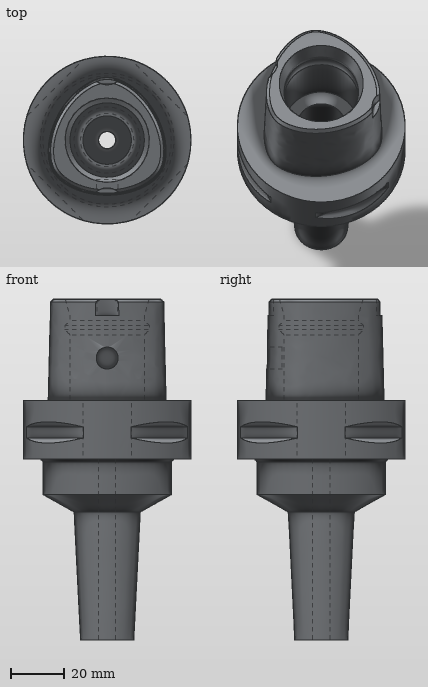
import cadquery as cq
import math

height = 128.0
flange_top = 90.0
flange_bottom = 68.0
collar_bottom = 54.7
nose_top = 48.1

flange_radius = 31.5
collar_radius = 24.0
collar_flare = 1.0
nose_top_radius = 12.4
nose_end_radius = 10.0

shank_base_radius = 22.1
shank_top_radius = 21.2
lobe_height = 1.4
shank_chamfer = 1.2
outline_points = 48

mouth_radius = 15.7
bore_radius = 14.0
mouth_depth = 6.4
lip_end = 8.0
groove_depth = 1.9
groove_wall_end = 11.5
bore_floor = 90.0
inner_bore_radius = 9.1
inner_bore_floor = 68.0
through_radius = 3.2

notch_count = 4
notch_floor_distance = 27.6
notch_floor_height = 4.1
notch_rim_height = 8.0
notch_center = 78.0

slot_radius = 6.4
slot_depth = 6.3
slot_inset = 1.9
hole_radius = 4.1
hole_center = 105.9
hole_floor_distance = 14.7


def lobed_outline(mean_radius, z):
    """Closed constant-width curve whose tangent distance is mean_radius + lobe_height * cos(3t)."""
    points = []
    for i in range(outline_points):
        t = 2 * math.pi * i / outline_points
        distance = mean_radius + lobe_height * math.cos(3 * t)
        slope = -3 * lobe_height * math.sin(3 * t)
        x = distance * math.sin(t) + slope * math.cos(t)
        y = distance * math.cos(t) - slope * math.sin(t)
        points.append((x, y, z))
    edge = cq.Edge.makeSpline([cq.Vector(*p) for p in points], periodic=True)
    return cq.Wire.assembleEdges([edge])


def lobed_section(lower_radius, lower_z, upper_radius, upper_z):
    wires = [lobed_outline(lower_radius, lower_z), lobed_outline(upper_radius, upper_z)]
    return cq.Workplane(obj=cq.Solid.makeLoft(wires, True))


def revolved(profile):
    return cq.Workplane("XZ").polyline(profile).close().revolve(360, (0, 0, 0), (0, 1, 0))


def turned_body():
    return revolved([
        (0, 0),
        (nose_end_radius, 0),
        (nose_top_radius, nose_top),
        (collar_radius, collar_bottom),
        (collar_radius, flange_bottom - collar_flare),
        (collar_radius + collar_flare, flange_bottom),
        (flange_radius, flange_bottom),
        (flange_radius, flange_top),
        (0, flange_top),
    ])


def shank():
    chamfer_start = height - shank_chamfer
    taper = lobed_section(shank_base_radius, flange_top, shank_top_radius, chamfer_start)
    end = lobed_section(shank_top_radius, chamfer_start, shank_top_radius - shank_chamfer, height)
    return taper.union(end)


def bore():
    groove_radius = bore_radius + groove_depth
    return revolved([
        (0, height),
        (mouth_radius, height),
        (bore_radius, height - mouth_depth),
        (bore_radius, height - lip_end),
        (groove_radius, height - lip_end - groove_depth),
        (groove_radius, height - groove_wall_end),
        (bore_radius, height - groove_wall_end - groove_depth),
        (bore_radius, bore_floor),
        (inner_bore_radius, bore_floor),
        (inner_bore_radius, inner_bore_floor),
        (through_radius, inner_bore_floor),
        (through_radius, 0),
        (0, 0),
    ])


def gripper_notch():
    """Flat-floored notch facing +X, with sloping sides that open toward the rim."""
    half_floor = notch_floor_height / 2
    half_rim = notch_rim_height / 2
    return (
        cq.Workplane("XZ")
        .polyline([
            (notch_floor_distance, notch_center - half_floor),
            (flange_radius, notch_center - half_rim),
            (flange_radius, notch_center + half_rim),
            (notch_floor_distance, notch_center + half_floor),
        ])
        .close()
        .extrude(flange_radius, both=True)
    )


def key_slot(side):
    """Round-backed slot at the shank end, on the +Y (side = 1) or -Y (side = -1) face."""
    face_distance = shank_top_radius + side * lobe_height
    axis_y = side * (face_distance - slot_inset + slot_radius)
    return (
        cq.Workplane("XY", origin=(0, axis_y, height - slot_depth))
        .circle(slot_radius)
        .extrude(slot_depth)
    )


def locating_hole():
    return (
        cq.Workplane("XZ", origin=(0, -hole_floor_distance, hole_center))
        .circle(hole_radius)
        .extrude(flange_radius - hole_floor_distance)
    )


result = turned_body().union(shank()).cut(bore()).cut(locating_hole())
for side in (1, -1):
    result = result.cut(key_slot(side))
for i in range(notch_count):
    angle = (i + 0.5) * 360 / notch_count
    result = result.cut(gripper_notch().rotate((0, 0, 0), (0, 0, 1), angle))